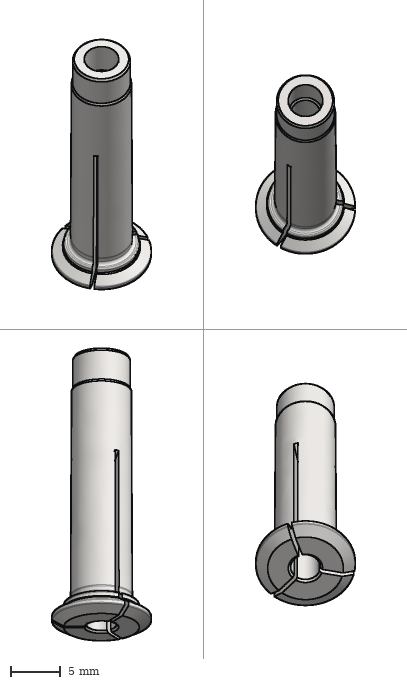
import cadquery as cq
import math

length = 29.0
flange_diameter = 10.0

bore_diameter = 3.0
socket_diameter = 3.45
bore_chamfer = (socket_diameter - bore_diameter) / 2
socket_floor_slope = math.radians(30)

spigot_diameter = 5.8
spigot_bottom = 25.6
spigot_chamfer_width = 0.17
spigot_chamfer_height = 0.3

shank_top = 25.35
shank_top_diameter = 6.05
shank_diameter = 6.24
relief_top = 3.4
relief_bottom = 3.28
foot_diameter = 6.2
foot_fillet = 0.35

collar_diameter = 7.6
collar_top = 2.5
collar_round = 0.17
collar_flare_width = 0.12
collar_flare_height = 0.15
collar_bottom = 1.9

flange_slope = math.radians(30)
rim_fillet = 0.12
base_diameter = 7.6

slot_count = 3
slot_width = 0.44
slot_top = 18.1
slot_end_slope = math.radians(45)
first_slot_angle = 180

flange_radius = flange_diameter / 2
collar_radius = collar_diameter / 2
bore_radius = bore_diameter / 2
cone_slope = math.tan(flange_slope)


def make_body():
    """Revolve the outer outline and the stepped bore about Z."""
    base_radius = base_diameter / 2
    foot_radius = foot_diameter / 2
    spigot_radius = spigot_diameter / 2
    socket_radius = socket_diameter / 2

    socket_floor = spigot_bottom - (socket_radius - bore_radius) * math.tan(socket_floor_slope)
    rim_bottom = (flange_radius - base_radius) * cone_slope
    cone_start = (collar_radius + collar_flare_width, collar_bottom - collar_flare_height)
    rim_top = cone_start[1] - (flange_radius - cone_start[0]) * cone_slope
    diagonal = math.sqrt(0.5)
    foot_fillet_middle = (
        foot_radius + foot_fillet * (1 - diagonal),
        collar_top + foot_fillet * (1 - diagonal),
    )
    collar_round_middle = (
        collar_radius - collar_round * (1 - diagonal),
        collar_top - collar_round * (1 - diagonal),
    )

    body = (
        cq.Workplane("XZ")
        .moveTo(socket_radius, 0)
        .lineTo(base_radius, 0)
        .lineTo(flange_radius, rim_bottom)
        .lineTo(flange_radius, rim_top)
        .lineTo(*cone_start)
        .lineTo(collar_radius, collar_bottom)
        .lineTo(collar_radius, collar_top - collar_round)
        .threePointArc(collar_round_middle, (collar_radius - collar_round, collar_top))
        .lineTo(foot_radius + foot_fillet, collar_top)
        .threePointArc(foot_fillet_middle, (foot_radius, collar_top + foot_fillet))
        .lineTo(foot_radius, relief_bottom)
        .lineTo(shank_diameter / 2, relief_top)
        .lineTo(shank_top_diameter / 2, shank_top)
        .lineTo(spigot_radius, spigot_bottom)
        .lineTo(spigot_radius, length - spigot_chamfer_height)
        .lineTo(spigot_radius - spigot_chamfer_width, length)
        .lineTo(socket_radius, length)
        .lineTo(socket_radius, spigot_bottom)
        .lineTo(bore_radius, socket_floor)
        .lineTo(bore_radius, bore_chamfer)
        .close()
        .revolve(360, (0, 0, 0), (0, 1, 0))
    )
    rim_zone = cq.selectors.BoxSelector(
        (-flange_diameter, -flange_diameter, rim_bottom - rim_fillet),
        (flange_diameter, flange_diameter, rim_top + rim_fillet),
    )
    return body.edges(rim_zone).edges("%CIRCLE").fillet(rim_fillet)


def make_slot(angle):
    """Slot from the axis outward, open at the base, its end face rising outward."""
    end_rise = math.tan(slot_end_slope)
    axis_height = slot_top - shank_diameter / 2 * end_rise
    outer_height = axis_height + flange_diameter * end_rise
    return (
        cq.Workplane("XZ")
        .polyline([(0, 0), (flange_diameter, 0), (flange_diameter, outer_height), (0, axis_height)])
        .close()
        .extrude(slot_width / 2, both=True)
        .rotate((0, 0, 0), (0, 0, 1), angle)
    )


result = make_body()
for index in range(slot_count):
    result = result.cut(make_slot(first_slot_angle + index * 360 / slot_count))